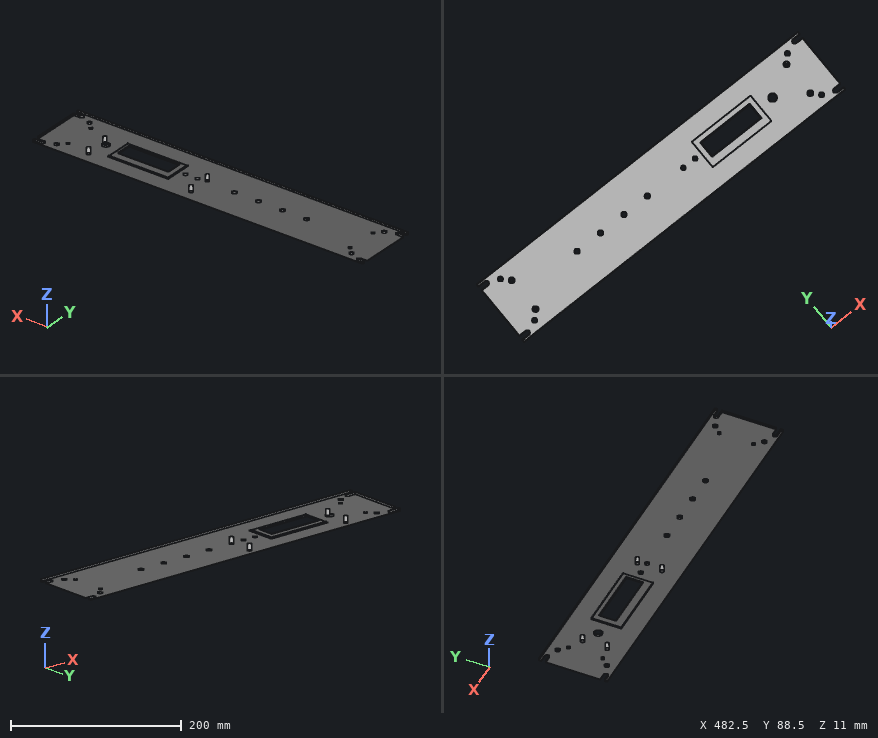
import cadquery as cq
TOTAL_HEIGHT = 11.0

PANEL_LENGTH = 482.5
PANEL_WIDTH = 88.5
PANEL_THICKNESS = 3.0

SLOT_WIDTH = 6.0
SLOT_DEPTH = 12.5
SLOT_OFFSET_Y = 38.0

CORNER_HOLE_DIAMETER = 6.0
CORNER_HOLE_X = 215.5
CORNER_HOLE_Y = 32.0

SCREW_HOLE_DIAMETER = 3.95
COUNTERSINK_DIAMETER = 7.0
COUNTERSINK_ANGLE = 90.0
SCREW_HOLE_X = 206.5
SCREW_HOLE_Y = 22.0

ROW_Y = 1.5
CONTROL_PITCH = 35.0
CONTROL_COUNT = 4
CONTROL_FIRST_X = -125.0
CONTROL_HOLE_DIAMETER = 6.5
LAMP_HOLE_DIAMETER = 5.5
LAMP_FIRST_X = 34.7
LAMP_PITCH = CONTROL_PITCH / 2
LAMP_COUNT = 2
SWITCH_HOLE_DIAMETER = 10.0
SWITCH_X = 169.0

DISPLAY_X = 106.0
WINDOW_LENGTH = 72.5
WINDOW_WIDTH = 20.5
POCKET_FLOOR = 1.0
WINDOW_BEVEL = POCKET_FLOOR
BEVEL_ANGLE = 45.0
POCKET_LENGTH = 88.5
POCKET_WIDTH = 39.0
DISPLAY_Y = 0.0

STANDOFF_DIAMETER = 5.0
STANDOFF_HEIGHT = TOTAL_HEIGHT - PANEL_THICKNESS
STANDOFF_PITCH_X = 150.0
STANDOFF_PITCH_Y = 32.0


def corner_points(x, y):
    """Four points mirrored about both centre lines of the panel."""
    return [(sx * x, sy * y) for sx in (-1, 1) for sy in (-1, 1)]


def row_points(first_x, pitch, count):
    """Evenly pitched points along the control row."""
    return [(first_x + i * pitch, ROW_Y) for i in range(count)]


def cut_holes(panel, points, diameter):
    """Drill round holes through the panel."""
    return panel.faces(">Z").workplane(origin=(0, 0, 0)).pushPoints(points).hole(diameter)


def cut_rack_slots(panel):
    """Cut round-ended slots that run out through the short edges."""
    slots = (
        cq.Workplane("XY")
        .pushPoints(corner_points(PANEL_LENGTH / 2, SLOT_OFFSET_Y))
        .slot2D(2 * SLOT_DEPTH, SLOT_WIDTH)
        .extrude(PANEL_THICKNESS)
    )
    return panel.cut(slots)


def cut_screw_holes(panel):
    """Drill the countersunk holes from the top face."""
    return (
        panel.faces(">Z")
        .workplane(origin=(0, 0, 0))
        .pushPoints(corner_points(SCREW_HOLE_X, SCREW_HOLE_Y))
        .cskHole(SCREW_HOLE_DIAMETER, COUNTERSINK_DIAMETER, COUNTERSINK_ANGLE)
    )


def cut_display(panel):
    """Cut the display window, its top bevel and the pocket in the underside."""
    centre = cq.Workplane("XY").center(DISPLAY_X, ROW_Y)
    window = centre.rect(WINDOW_LENGTH, WINDOW_WIDTH).extrude(PANEL_THICKNESS)
    bevel = (
        centre.workplane(offset=PANEL_THICKNESS)
        .rect(WINDOW_LENGTH + 2 * WINDOW_BEVEL, WINDOW_WIDTH + 2 * WINDOW_BEVEL)
        .extrude(-WINDOW_BEVEL, taper=BEVEL_ANGLE)
    )
    pocket = (
        cq.Workplane("XY")
        .center(DISPLAY_X, DISPLAY_Y)
        .rect(POCKET_LENGTH, POCKET_WIDTH)
        .extrude(PANEL_THICKNESS - POCKET_FLOOR)
    )
    return panel.cut(window).cut(bevel).cut(pocket)


def make_panel():
    panel = cq.Workplane("XY").box(
        PANEL_LENGTH, PANEL_WIDTH, PANEL_THICKNESS, centered=(True, True, False)
    )
    panel = cut_rack_slots(panel)
    panel = cut_holes(panel, corner_points(CORNER_HOLE_X, CORNER_HOLE_Y), CORNER_HOLE_DIAMETER)
    panel = cut_screw_holes(panel)
    panel = cut_holes(
        panel, row_points(CONTROL_FIRST_X, CONTROL_PITCH, CONTROL_COUNT), CONTROL_HOLE_DIAMETER
    )
    panel = cut_holes(panel, row_points(LAMP_FIRST_X, LAMP_PITCH, LAMP_COUNT), LAMP_HOLE_DIAMETER)
    panel = cut_holes(panel, [(SWITCH_X, ROW_Y)], SWITCH_HOLE_DIAMETER)
    return cut_display(panel)


def make_standoff(x, y):
    """Plain round standoff hanging from the underside of the panel."""
    return (
        cq.Workplane("XY").center(x, y).circle(STANDOFF_DIAMETER / 2).extrude(-STANDOFF_HEIGHT)
    )


panel = make_panel()
standoffs = [
    make_standoff(DISPLAY_X + dx, DISPLAY_Y + dy)
    for dx, dy in corner_points(STANDOFF_PITCH_X / 2, STANDOFF_PITCH_Y / 2)
]

result = cq.Compound.makeCompound([panel.val(), *[standoff.val() for standoff in standoffs]])